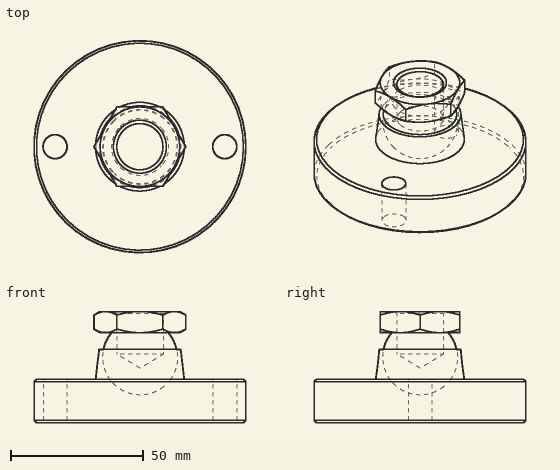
import cadquery as cq
import math

BASE_DIAMETER = 80.0
BASE_HEIGHT = 16.5
BASE_CHAMFER = 1.0
MOUNT_HOLE_DIAMETER = 9.0
MOUNT_HOLE_SPACING = 64.0

COLLAR_BOTTOM_DIAMETER = 33.5
COLLAR_TOP_DIAMETER = 30.9
COLLAR_HEIGHT = 11.2

BALL_DIAMETER = 28.3
BALL_CENTER_Z = 24.8
TOTAL_HEIGHT = 42.0
HEX_HEIGHT = 8.0
HEX_ACROSS_FLATS = 30.0
HEX_ACROSS_CORNERS = HEX_ACROSS_FLATS / math.cos(math.radians(30))
HEX_BOTTOM = TOTAL_HEIGHT - HEX_HEIGHT
HEX_CHAMFER_ANGLE = 30.0

BORE_DIAMETER = 17.4
BORE_MOUTH_DIAMETER = 20.0
BORE_MOUTH_ANGLE = 120.0
BORE_DEPTH = 16.0
DRILL_POINT_ANGLE = 118.0


def make_ball():
    """Ball shared by the stud and the socket that fits it."""
    return cq.Workplane("XY").sphere(BALL_DIAMETER / 2).translate((0, 0, BALL_CENTER_Z))


def make_base():
    """Round base with a tapered collar, a ball socket and two mounting holes."""
    plate = (
        cq.Workplane("XY")
        .circle(BASE_DIAMETER / 2)
        .extrude(BASE_HEIGHT)
        .edges()
        .chamfer(BASE_CHAMFER)
        .faces(">Z")
        .workplane()
        .pushPoints([(-MOUNT_HOLE_SPACING / 2, 0), (MOUNT_HOLE_SPACING / 2, 0)])
        .hole(MOUNT_HOLE_DIAMETER)
    )
    collar = cq.Workplane(
        cq.Solid.makeCone(
            COLLAR_BOTTOM_DIAMETER / 2,
            COLLAR_TOP_DIAMETER / 2,
            COLLAR_HEIGHT,
            pnt=cq.Vector(0, 0, BASE_HEIGHT),
        )
    )
    return plate.union(collar).cut(make_ball())


def make_hex_head():
    """Hexagon with corners on X and conical chamfers at both ends."""
    prism = (
        cq.Workplane("XY")
        .workplane(offset=HEX_BOTTOM)
        .polygon(6, HEX_ACROSS_CORNERS)
        .extrude(HEX_HEIGHT)
    )
    end_radius = HEX_ACROSS_FLATS / 2
    corner_radius = HEX_ACROSS_CORNERS / 2
    chamfer_height = (corner_radius - end_radius) * math.tan(math.radians(HEX_CHAMFER_ANGLE))
    envelope = (
        cq.Workplane("XZ")
        .moveTo(0, HEX_BOTTOM)
        .lineTo(end_radius, HEX_BOTTOM)
        .lineTo(corner_radius, HEX_BOTTOM + chamfer_height)
        .lineTo(corner_radius, TOTAL_HEIGHT - chamfer_height)
        .lineTo(end_radius, TOTAL_HEIGHT)
        .lineTo(0, TOTAL_HEIGHT)
        .close()
        .revolve(360, (0, 0, 0), (0, 1, 0))
    )
    return prism.intersect(envelope)


def make_bore():
    """Bore volume: countersunk mouth, straight wall and drill point."""
    bore_radius = BORE_DIAMETER / 2
    mouth_radius = BORE_MOUTH_DIAMETER / 2
    mouth_depth = (mouth_radius - bore_radius) / math.tan(math.radians(BORE_MOUTH_ANGLE / 2))
    bore_bottom = TOTAL_HEIGHT - BORE_DEPTH
    point_depth = bore_radius / math.tan(math.radians(DRILL_POINT_ANGLE / 2))
    return (
        cq.Workplane("XZ")
        .moveTo(0, TOTAL_HEIGHT)
        .lineTo(mouth_radius, TOTAL_HEIGHT)
        .lineTo(bore_radius, TOTAL_HEIGHT - mouth_depth)
        .lineTo(bore_radius, bore_bottom)
        .lineTo(0, bore_bottom - point_depth)
        .close()
        .revolve(360, (0, 0, 0), (0, 1, 0))
    )


def make_ball_stud():
    """Ball cut flat under the hexagon head, bored from the top."""
    trim = (
        cq.Workplane("XY")
        .workplane(offset=HEX_BOTTOM)
        .circle(BALL_DIAMETER)
        .extrude(BALL_DIAMETER)
    )
    return make_ball().cut(trim).union(make_hex_head()).cut(make_bore())


base = make_base()
ball_stud = make_ball_stud()
result = cq.Compound.makeCompound([base.val(), ball_stud.val()])